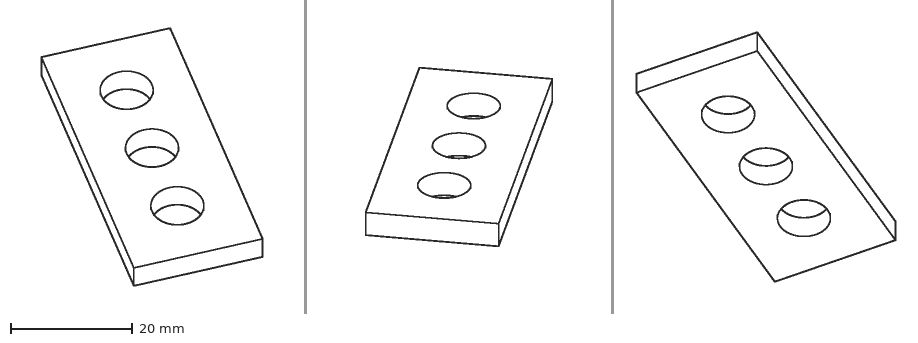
import cadquery as cq

length = 50.8
width = 22.25
thickness = 4.25

hole_diameter = 8.75
hole_pitch = 13.9
hole_count = 3

plate = cq.Workplane("XY").box(length, width, thickness)

result = (
    plate.faces(">Z")
    .workplane()
    .rarray(hole_pitch, 0.5, hole_count, 1)
    .hole(hole_diameter)
)